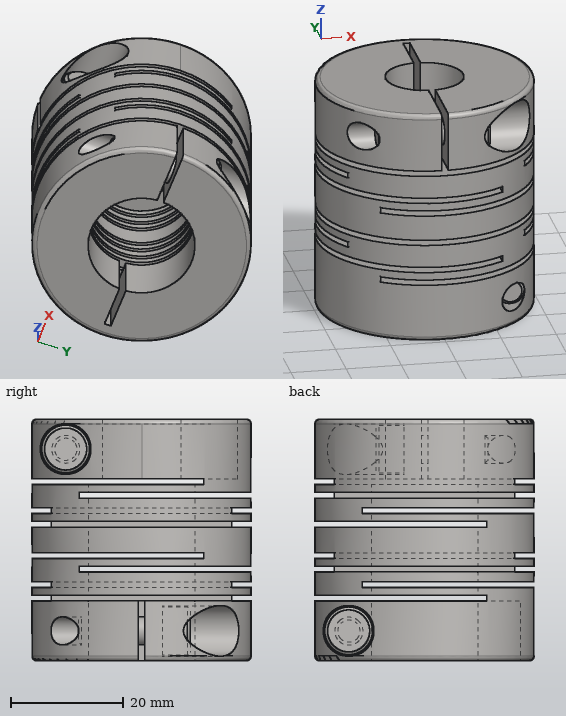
import cadquery as cq

LENGTH = 43.0
OUTER_RADIUS = 19.5
RIM_FILLET = 0.85
UPPER_BORE_RADIUS = 7.0
LOWER_BORE_RADIUS = 9.5

SLOT_HEIGHT = 1.0
CHORD_DISTANCE = 11.05
SIDE_ANGLES = {"+X": 0, "+Y": 90, "-X": 180, "-Y": 270}
UPPER_SLOTS = ((10.35, "+Y"), (7.95, "-Y"), (5.2, "+X"), (2.8, "-X"))
LOWER_SLOTS = tuple(
    (-upper_height, lower_side)
    for (upper_height, _), lower_side in zip(reversed(UPPER_SLOTS), ("+Y", "-Y", "+X", "-X"))
)

HUB_HEIGHT = LENGTH / 2 - UPPER_SLOTS[0][0] - SLOT_HEIGHT / 2
CLAMP_GAP = 1.2
CLAMP_GAP_END = 17.03

SCREW_OFFSET = 13.5
SCREW_DEPTH = HUB_HEIGHT / 2
SCREW_RADIUS = 2.5
SCREW_TIP_X = -11.22
SCREW_CHAMFER = 0.5
HEAD_RADIUS = 4.25
HEAD_BOTTOM_X = 3.65
HEAD_TOP_X = 8.65
COUNTERBORE_RADIUS = 4.5


def make_body():
    """Filleted cylinder standing on Z = 0 with a stepped bore."""
    body = cq.Workplane("XY").circle(OUTER_RADIUS).extrude(LENGTH)
    body = body.edges("%CIRCLE").fillet(RIM_FILLET)
    lower_bore = cq.Workplane("XY").circle(LOWER_BORE_RADIUS).extrude(LENGTH - HUB_HEIGHT)
    upper_bore = cq.Workplane("XY").circle(UPPER_BORE_RADIUS).extrude(LENGTH)
    return body.cut(lower_bore).cut(upper_bore)


def beam_slot(mid_height, kept_side):
    """Slab that removes everything except the segment on the kept side."""
    turn = SIDE_ANGLES[kept_side]
    reach = 2 * OUTER_RADIUS
    slab = cq.Workplane("XY").box(reach, reach, SLOT_HEIGHT)
    slab = slab.translate((CHORD_DISTANCE - reach / 2, 0, LENGTH / 2 + mid_height))
    return slab.rotate((0, 0, 0), (0, 0, 1), turn)


def to_lower_hub(shape):
    """Place an upper-hub feature in the lower hub: mirrored in height and turned a quarter."""
    mirrored = shape.mirror("XY", (0, 0, LENGTH / 2))
    return mirrored.rotate((0, 0, 0), (0, 0, 1), 90)


def screw_cylinder(radius, start_x, end_x):
    """Cylinder on the upper screw axis between two X positions."""
    plane = cq.Workplane("YZ", origin=(start_x, -SCREW_OFFSET, LENGTH - SCREW_DEPTH))
    return plane.circle(radius).extrude(end_x - start_x)


def clamp_gap():
    """Slit through the upper hub, open at -Y and closed before the +Y side."""
    gap_length = OUTER_RADIUS + CLAMP_GAP_END
    gap = cq.Workplane("XY").box(CLAMP_GAP, gap_length, HUB_HEIGHT)
    return gap.translate((0, CLAMP_GAP_END - gap_length / 2, LENGTH - HUB_HEIGHT / 2))


def screw_hole():
    """Screw hole opening at -X and counterbored from +X."""
    hole = screw_cylinder(SCREW_RADIUS, -OUTER_RADIUS, HEAD_BOTTOM_X)
    return hole.union(screw_cylinder(COUNTERBORE_RADIUS, HEAD_BOTTOM_X, OUTER_RADIUS))


def clamp_screw():
    """Plain-headed screw with chamfered tip and head."""
    shank = screw_cylinder(SCREW_RADIUS, SCREW_TIP_X, HEAD_BOTTOM_X)
    shank = shank.faces("<X").chamfer(SCREW_CHAMFER)
    head = screw_cylinder(HEAD_RADIUS, HEAD_BOTTOM_X, HEAD_TOP_X)
    head = head.faces(">X").chamfer(SCREW_CHAMFER)
    return shank.union(head)


result = make_body()
for slot_height, slot_side in UPPER_SLOTS + LOWER_SLOTS:
    result = result.cut(beam_slot(slot_height, slot_side))

hub_cut = clamp_gap().union(screw_hole())
result = result.cut(hub_cut).cut(to_lower_hub(hub_cut))
result = result.union(clamp_screw()).union(to_lower_hub(clamp_screw()))